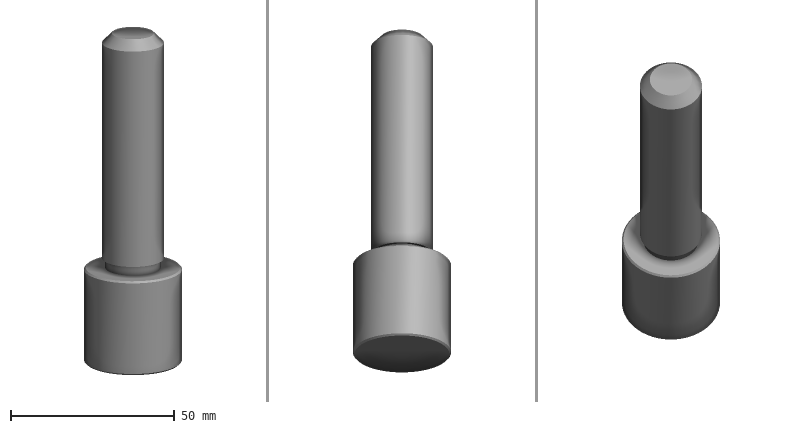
import cadquery as cq

total_length = 105.0
head_diameter = 30.0
head_height = 30.0
head_chamfer = 0.5

neck_diameter = 17.0
neck_height = 3.0

shank_diameter = 19.0
tip_chamfer = 3.0
shank_length = total_length - head_height - neck_height


def cylinder(diameter, height, base_z):
    """Upright cylinder on the Z axis, starting at base_z."""
    return cq.Workplane("XY").workplane(offset=base_z).circle(diameter / 2).extrude(height)


head = cylinder(head_diameter, head_height, 0).edges().chamfer(head_chamfer)
neck = cylinder(neck_diameter, neck_height, head_height)
shank = cylinder(shank_diameter, shank_length, head_height + neck_height)
shank = shank.faces(">Z").edges().chamfer(tip_chamfer)

result = head.union(neck).union(shank)